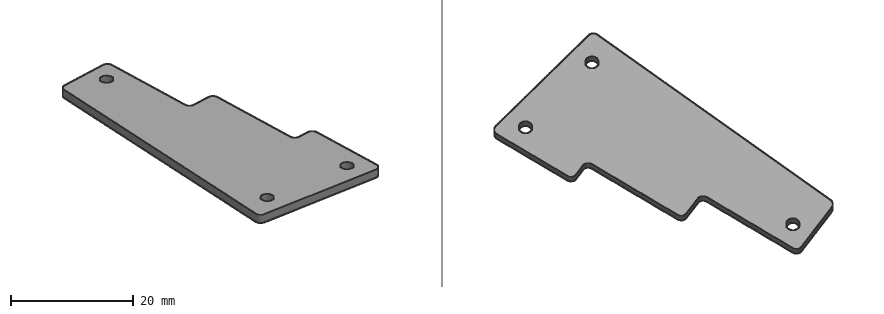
import cadquery as cq

thickness = 1.6
corner_radius = 1.0
top_edge_y = 24.55

left_bottom_y = 4.3
left_top_y = 15.1
first_step_x = 19.05
middle_edge_y = 20.5
second_step_x = 38.05

right_top_x = 54.15
right_bottom = (50.7, -0.05)

hole_diameter = 2.2
hole_centers = [(3.5, 11.45), (49.8, 20.9), (47.55, 4.8)]

outline = [
    (0, left_bottom_y),
    right_bottom,
    (right_top_x, top_edge_y),
    (second_step_x, top_edge_y),
    (second_step_x, middle_edge_y),
    (first_step_x, middle_edge_y),
    (first_step_x, left_top_y),
    (0, left_top_y),
]

plate = (
    cq.Workplane("XY")
    .polyline(outline)
    .close()
    .extrude(thickness)
    .edges("|Z")
    .fillet(corner_radius)
)

result = (
    plate.faces(">Z")
    .workplane(origin=(0, 0, thickness))
    .pushPoints(hole_centers)
    .hole(hole_diameter)
)